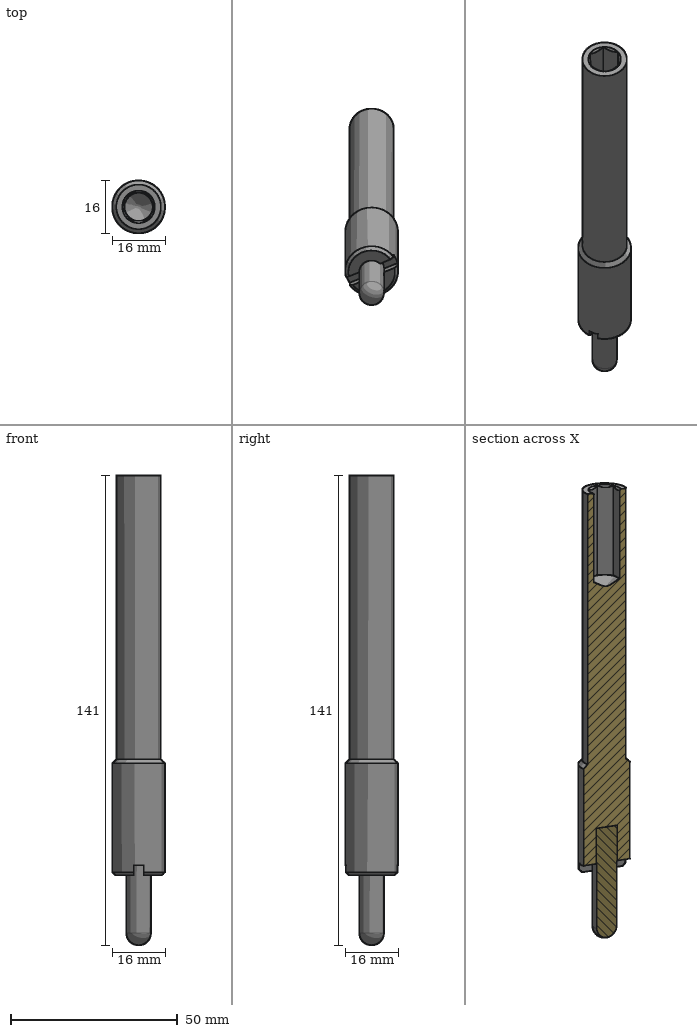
import cadquery as cq
import math

overall_length = 141.0
pin_diameter = 7.5
pin_projection = 21.0
pin_seat_depth = 14.1

tube_diameter = 13.4
collar_diameter = 16.0
collar_bottom = pin_projection
collar_top = 55.8
bottom_chamfer = 1.0
top_chamfer = (collar_diameter - tube_diameter) / 2

slot_width = 3.0
slot_depth = 3.0

socket_across_flats = 8.5
socket_across_corners = socket_across_flats / math.cos(math.pi / 6)
socket_depth = 28.2
drill_point_angle = 118.0


def cone_below(radius, height, top):
    """Cone on the Z axis that narrows downward from `top` to a point."""
    return (
        cq.Workplane("XZ")
        .polyline([(0, top), (radius, top), (0, top - height)])
        .close()
        .revolve(360, (0, 0, 0), (0, 1, 0))
    )


def make_pin():
    """Round pin with a hemispherical tip."""
    radius = pin_diameter / 2
    seat_top = pin_projection + pin_seat_depth
    shank = cq.Workplane("XY").workplane(offset=radius).circle(radius).extrude(seat_top - radius)
    tip = cq.Workplane("XY").sphere(radius).translate((0, 0, radius))
    return shank.union(tip)


def make_housing_blank():
    """Solid stepped housing with both collar edges chamfered."""
    collar = cq.Workplane("XY").workplane(offset=collar_bottom).circle(collar_diameter / 2)
    collar = collar.extrude(collar_top - collar_bottom)
    collar = collar.faces("<Z").chamfer(bottom_chamfer).faces(">Z").chamfer(top_chamfer)
    tube = cq.Workplane("XY").workplane(offset=collar_top).circle(tube_diameter / 2)
    return collar.union(tube.extrude(overall_length - collar_top))


def make_socket():
    """Hexagonal socket, its conical bottom and its countersunk mouth."""
    hexagon = (
        cq.Workplane("XY")
        .workplane(offset=overall_length - socket_depth)
        .polygon(6, socket_across_corners)
        .extrude(socket_depth)
    )
    drill_radius = socket_across_flats / 2
    drill_height = drill_radius / math.tan(math.radians(drill_point_angle / 2))
    drill_point = cone_below(drill_radius, drill_height, overall_length - socket_depth)
    mouth_radius = socket_across_corners / 2
    mouth = cone_below(mouth_radius, mouth_radius, overall_length)
    return hexagon.union(drill_point).union(mouth)


def make_pin_hole():
    """Blind hole that fits the seated end of the pin."""
    hole = cq.Workplane("XY").workplane(offset=collar_bottom).circle(pin_diameter / 2)
    return hole.extrude(pin_seat_depth)


def make_slot():
    """Slot along Y through the full width of the collar's lower end."""
    return cq.Workplane("XY").box(slot_width, collar_diameter, slot_depth, (True, True, False)).translate(
        (0, 0, collar_bottom)
    )


pin = make_pin()
housing = make_housing_blank().cut(make_socket()).cut(make_pin_hole()).cut(make_slot())

result = cq.Compound.makeCompound([housing.val(), pin.val()])